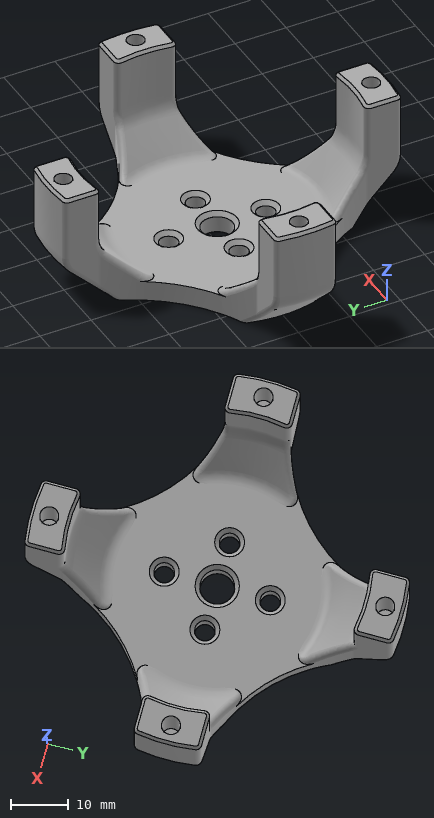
import cadquery as cq
import math

height = 23.8
outer_radius = 33.45
plate_thickness = 4.0

wall_thickness = 7.0
base_radius = 24.3
floor_radius = 19.3
bend_fillet = 5.0
floor_fillet = 3.0
plate_radius = 22.1

arm_count = 4
arm_width = 12.05
scallop_radius = 30.05
scallop_center = 34.8
bowl_start = 13.4
arm_start = 16.05
start_fillet = 2.0
root_fillet = 1.35
edge_fillet = 1.0
tip_chamfer = 0.55

hub_hole_diameter = 6.0
mount_hole_diameter = 3.55
hole_chamfer = 0.8
mount_offset_x = 8.0
mount_offset_y = 9.5
tip_hole_diameter = 3.3
tip_hole_offset = 30.1
tip_hole_depth = 10.05

reach = outer_radius + 0.7
inner_radius = outer_radius - wall_thickness
half_width = arm_width / 2
outer_bend_z = outer_radius - base_radius
inner_bend_z = plate_thickness + inner_radius - floor_radius


def scallop_y(x):
    """Half width of the plan on the concave side at a given X."""
    return scallop_center - math.sqrt(scallop_radius**2 - (scallop_center - x) ** 2)


def make_bowl():
    """Ring with a flat floor, sloped walls and vertical walls, revolved about Z."""
    bends = cq.selectors.BoxSelector((-reach, plate_thickness + 0.7, -0.7), (0, height - 0.7, 0.7))
    floor_corner = cq.selectors.NearestToPointSelector((-floor_radius, plate_thickness))
    section = (
        cq.Sketch()
        .polygon(
            [
                (-bowl_start, 0),
                (-base_radius, 0),
                (-outer_radius, outer_bend_z),
                (-outer_radius, height),
                (-inner_radius, height),
                (-inner_radius, inner_bend_z),
                (-floor_radius, plate_thickness),
                (-bowl_start, plate_thickness),
                (-bowl_start, 0),
            ]
        )
        .vertices(bends)
        .fillet(bend_fillet)
        .reset()
        .vertices(floor_corner)
        .fillet(floor_fillet)
    )
    return cq.Workplane("XZ").placeSketch(section).revolve(360, (0, 0, 0), (0, 1, 0))


def make_arm():
    """Arm along +X with its long edges rounded and its tip chamfered."""
    root = scallop_y(half_width)
    middle = (arm_start + root) / 2
    start_y = scallop_y(arm_start)
    column = (
        cq.Workplane("XY")
        .moveTo(reach, -half_width)
        .lineTo(reach, half_width)
        .lineTo(root, half_width)
        .threePointArc((middle, scallop_y(middle)), (arm_start, start_y))
        .lineTo(arm_start, -start_y)
        .threePointArc((middle, -scallop_y(middle)), (root, -half_width))
        .close()
        .extrude(height)
    )
    near_root = cq.selectors.BoxSelector((root - 0.7, -reach, 0), (root + 0.7, reach, height))
    column = column.edges("|Z").edges(near_root).fillet(root_fillet)
    column = column.edges("|Z").edges("<X").fillet(start_fillet)
    arm = make_bowl().intersect(column)

    upper_wall = cq.selectors.BoxSelector((0, -reach, 0.7 * height), (reach, reach, height))
    arm = arm.edges("|Z").edges(upper_wall).fillet(edge_fillet)
    return arm.faces(">Z").edges().chamfer(tip_chamfer)


def make_body():
    """Scalloped plate with the arms around it."""
    spacing = 2 * scallop_center
    scallops = (
        cq.Workplane("XY").rarray(spacing, spacing, 2, 2).circle(scallop_radius).extrude(plate_thickness)
    )
    body = cq.Workplane("XY").circle(plate_radius).extrude(plate_thickness).cut(scallops)
    arm = make_arm()
    for index in range(arm_count):
        body = body.union(arm.rotate((0, 0, 0), (0, 0, 1), index * 360 / arm_count), clean=False)
    return body


def make_countersunk_hole(x, y, diameter):
    """Cutter for a through hole with a 45 degree countersink at the plate top."""
    radius = diameter / 2
    profile = [
        (0, 0),
        (radius, 0),
        (radius, plate_thickness - hole_chamfer),
        (radius + hole_chamfer, plate_thickness),
        (0, plate_thickness),
    ]
    cutter = cq.Workplane("XZ").polyline(profile).close().revolve(360, (0, 0, 0), (0, 1, 0))
    return cutter.translate((x, y, 0))


def make_tip_hole(x, y):
    """Cutter for a blind hole in the top of an arm."""
    bottom = cq.Workplane("XY").workplane(offset=height - tip_hole_depth)
    return bottom.center(x, y).circle(tip_hole_diameter / 2).extrude(tip_hole_depth)


result = make_body()
result = result.cut(make_countersunk_hole(0, 0, hub_hole_diameter), clean=False)
for side in (-1, 1):
    for x, y in ((side * mount_offset_x, 0), (0, side * mount_offset_y)):
        result = result.cut(make_countersunk_hole(x, y, mount_hole_diameter), clean=False)
    for x, y in ((side * tip_hole_offset, 0), (0, side * tip_hole_offset)):
        result = result.cut(make_tip_hole(x, y), clean=False)